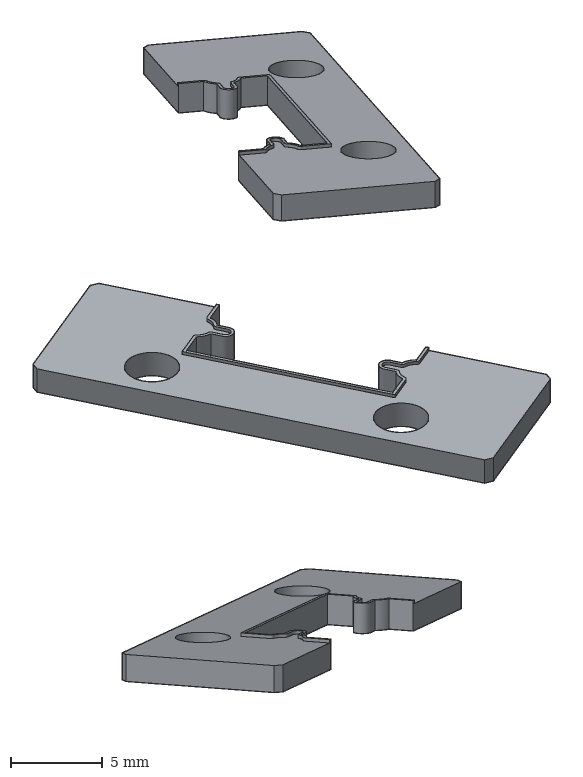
import cadquery as cq
import math

plate_length = 26.8
plate_depth = 9.4
plate_thickness = 1.5
corner_chamfer = 0.38

hole_diameter = 3.0
hole_spacing = 14.5
hole_y = 7.0

slot_width = 12.0
slot_depth = 5.0
slot_half_width = slot_width / 2

tab_y = 2.47
tab_gap = 8.47
tab_half_width = 0.48
tab_tip_length = 0.55
tab_tip_x = tab_gap / 2
tab_tip_base_x = tab_tip_x + tab_tip_length

shoulder_length = 0.62
shoulder_height = 0.55
shoulder_bulge = 0.08
shoulder_root_x = slot_half_width - shoulder_length
shoulder_wall_dy = tab_half_width + shoulder_height

total_height = 1.7
rim_width = 0.2


def add_tab(path, side):
    """Add the edge of one tab: front to back on the right (side 1), back to front on the left (-1)."""

    def at(x, dy):
        return (side * x, tab_y + side * dy)

    chord = math.hypot(shoulder_length, shoulder_height)
    middle_x = slot_half_width - shoulder_length / 2 - shoulder_bulge * shoulder_height / chord
    middle_dy = tab_half_width + shoulder_height / 2 + shoulder_bulge * shoulder_length / chord

    return (
        path.lineTo(*at(slot_half_width, -shoulder_wall_dy))
        .threePointArc(at(middle_x, -middle_dy), at(shoulder_root_x, -tab_half_width))
        .lineTo(*at(tab_tip_base_x, -tab_half_width))
        .threePointArc(at(tab_tip_x, 0), at(tab_tip_base_x, tab_half_width))
        .lineTo(*at(shoulder_root_x, tab_half_width))
        .threePointArc(at(middle_x, middle_dy), at(slot_half_width, shoulder_wall_dy))
    )


def slot_outline():
    """Closed outline of the slot, run past the front edge so that its offset is open there too."""
    overrun_y = -2 * rim_width
    path = cq.Workplane("XY").moveTo(slot_half_width, overrun_y)
    path = add_tab(path, 1)
    path = path.lineTo(slot_half_width, slot_depth).lineTo(-slot_half_width, slot_depth)
    path = add_tab(path, -1)
    return path.lineTo(-slot_half_width, overrun_y).close()


def make_block(height):
    """Rectangular block over the whole footprint."""
    return cq.Workplane("XY").box(plate_length, plate_depth, height, centered=(True, False, False))


def make_plate():
    """Plate with its four upright corners chamfered and its two holes."""
    plate = make_block(plate_thickness).edges("|Z").chamfer(corner_chamfer)
    holes = (
        cq.Workplane("XY")
        .pushPoints([(side * hole_spacing / 2, hole_y) for side in (-1, 1)])
        .circle(hole_diameter / 2)
        .extrude(plate_thickness)
    )
    return plate.cut(holes)


def make_rim():
    """Slot outline widened by the rim, square at the back corners and flush with the front edge."""
    widened = slot_outline().offset2D(rim_width, "arc").extrude(total_height)
    back_bar = (
        cq.Workplane("XY")
        .center(0, slot_depth)
        .rect(slot_width + 2 * rim_width, 2 * rim_width)
        .extrude(total_height)
    )
    return widened.union(back_bar).intersect(make_block(total_height))


slot = slot_outline().extrude(total_height)
result = make_plate().union(make_rim()).cut(slot)